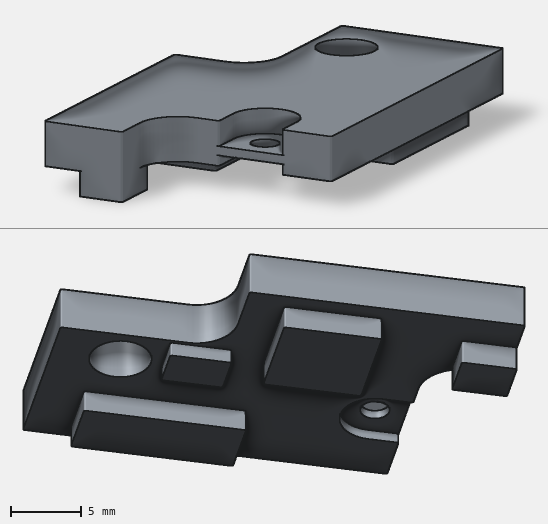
import cadquery as cq

width = 20.0
length = 32.3
thickness = 3.33
edge_radius = 0.15
notch_radius = 3.0
rear_notch_x = 7.0
rear_notch_y = 20.03
front_notch_x = 6.25
front_notch_y = 5.8

large_hole_diameter = 4.45
large_hole_center = (9.98, 27.33)

screw_hole_diameter = 2.1
screw_x = 13.5
screw_y = 8.08
slot_width = 5.05
upper_slot_depth = 1.87
web_thickness = 0.68
web_top = thickness - upper_slot_depth
web_bottom = web_top - web_thickness

foot = (2.78, front_notch_x, 0, 4.0, 1.87)
left_pad = (1.25, 8.45, 10.15, 17.25, 1.78)
middle_pad = (7.27, 10.4, 19.8, 24.25, 1.1)
right_pad = (14.4, 18.95, 17.25, 29.05, 1.68)


def corner_selector(x, y):
    """Selects the vertical plate edge at the given corner."""
    return cq.selectors.BoxSelector(
        (x - edge_radius, y - edge_radius, 0),
        (x + edge_radius, y + edge_radius, thickness),
    )


def make_plate():
    """Stepped plate with rounded notches and softened outer corners."""
    outline = [
        (0, 0),
        (front_notch_x, 0),
        (front_notch_x, front_notch_y),
        (width, front_notch_y),
        (width, length),
        (rear_notch_x, length),
        (rear_notch_x, rear_notch_y),
        (0, rear_notch_y),
    ]
    notch_corners = (
        corner_selector(front_notch_x, front_notch_y)
        + corner_selector(rear_notch_x, rear_notch_y)
    )
    outer_corners = cq.selectors.StringSyntaxSelector("|Z") - notch_corners
    plate = cq.Workplane("XY").polyline(outline).close().extrude(thickness)
    plate = plate.edges(outer_corners).fillet(edge_radius)
    return plate.edges("|Z").edges(notch_corners).fillet(notch_radius)


def make_slot(bottom, height):
    """Round-ended slot whose mouth flares with a small radius at the notch face."""
    half = slot_width / 2
    mouth = half + edge_radius
    flare_start = front_notch_y + edge_radius
    return (
        cq.Workplane("XY", origin=(screw_x, 0, bottom))
        .moveTo(-mouth, front_notch_y)
        .radiusArc((-half, flare_start), -edge_radius)
        .lineTo(-half, screw_y)
        .threePointArc((0, screw_y + half), (half, screw_y))
        .lineTo(half, flare_start)
        .radiusArc((mouth, front_notch_y), -edge_radius)
        .close()
        .extrude(height)
    )


def make_hole(center, diameter):
    return cq.Workplane("XY").center(*center).circle(diameter / 2).extrude(thickness)


def make_pad(x_min, x_max, y_min, y_max, depth):
    """Rectangular pad reaching below the plate, with rounded vertical edges."""
    return (
        cq.Workplane("XY", origin=((x_min + x_max) / 2, (y_min + y_max) / 2, -depth))
        .rect(x_max - x_min, y_max - y_min)
        .extrude(depth)
        .edges("|Z")
        .fillet(edge_radius)
    )


result = make_plate()
result = result.cut(make_slot(web_top, upper_slot_depth))
result = result.cut(make_slot(0, web_bottom))
for pad in (foot, left_pad, middle_pad, right_pad):
    result = result.union(make_pad(*pad))
result = result.cut(make_hole(large_hole_center, large_hole_diameter))
result = result.cut(make_hole((screw_x, screw_y), screw_hole_diameter))